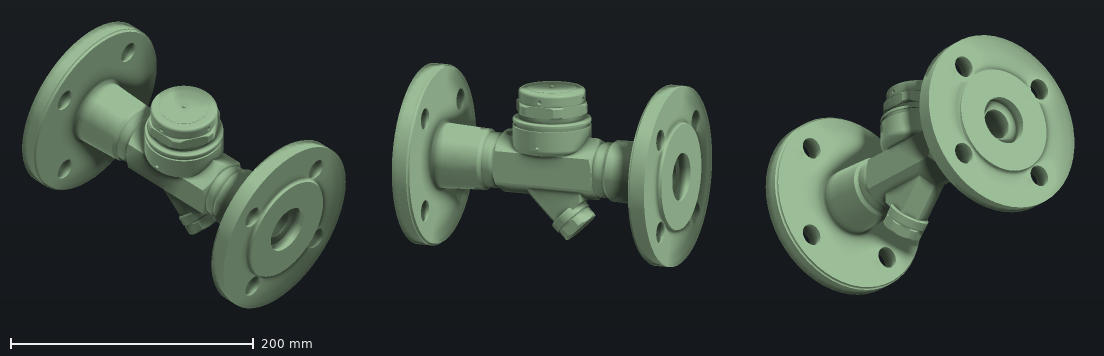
import cadquery as cq
import math

LENGTH = 230.0
FLANGE_DIA = 150.0
FLANGE_THICKNESS = 18.0
FACE_DIA = 88.0
FACE_HEIGHT = 3.0
FACE_FILLET = 2.8
FLANGE_STEP = 1.5
FLANGE_STEP_WIDTH = 2.3
BOLT_CIRCLE_DIA = 110.0
BOLT_HOLE_DIA = 18.0
BOLT_COUNT = 4

NECK_ROOT_DIA = 54.3
NECK_TIP_DIA = 50.8
NECK_FILLET = 3.0
NECK_TIP_X = 56.8
SPIGOT_DIA = 46.0
SPIGOT_START_X = 53.8
SPIGOT_END_X = 48.0
SPIGOT_BASE_DIA = 43.7
SOCKET_DIA = 40.0
SOCKET_DEPTH = 10.0
BORE_DIA = 25.0
BORE_END_X = 41.5

BODY_FLATS = 45.3
BODY_HALF_LENGTH = 44.2
BODY_CHAMFER_LENGTH = 2.8
BODY_CHAMFER_DEPTH = 4.1

BOWL_DIA = 65.0
BOWL_BOTTOM_Z = 13.5
BOWL_BOTTOM_FILLET = 5.0
BOWL_TOP_Z = 40.7
BOWL_TOP_FILLET = 1.4
GROOVE_DIA = 62.0
GROOVE_BOTTOM_Z = 34.7
GROOVE_TOP_Z = 38.0
COLLAR_DIA = 54.0
NUT_BOTTOM_Z = 45.3
NUT_TOP_Z = 54.5
NUT_FLATS = 55.5
NUT_CORNER_DIA = 60.5
NUT_CHAMFER = 1.2
CAP_DIA = 55.5
CAP_BOTTOM_Z = 55.2
CAP_TOP_Z = 65.3
CAP_FILLET = 3.0
CAP_DISC_DIA = 40.0
CAP_DISC_HEIGHT = 0.2
NUB_DIA = 3.0
CAP_NUB_RISE = 0.7
BOWL_NUB_Z = 20.5
BOWL_NUB_Y = -33.1
DIMPLE_DIA = 3.7
DIMPLE_Z = 58.6

PAD_WIDTH = 10.4
PAD_TOP_Z = 27.0
PAD_CENTER_X = -35.0

BRANCH_OFFSET = 17.5
BRANCH_FLATS = 26.5
BRANCH_LENGTH = 40.0
WEB_END_X = 30.0
PLUG_COLLAR_DIA = 34.0
PLUG_COLLAR_START = 36.5
PLUG_COLLAR_END = 45.0
PLUG_COLLAR_CHAMFER = 1.0
PLUG_END = 54.3
PLUG_FLATS = 30.8
PLUG_CORNER_DIA = 33.4
PLUG_CHAMFER = 1.2


def hexagon_corners(across_flats):
    """Distance across the corners of a regular hexagon."""
    return across_flats / math.cos(math.pi / 6)


def trimmed_hexagon(plane, across_flats, corner_dia, height, chamfer):
    """Hexagonal prism whose corners are turned down to a chamfered cylinder."""
    prism = cq.Workplane(plane).polygon(6, hexagon_corners(across_flats)).extrude(height)
    turned = cq.Workplane(plane).circle(corner_dia / 2).extrude(height).edges().chamfer(chamfer)
    return prism.intersect(turned)


def flange_and_neck():
    """Flange, tapered neck and spigot on the +X side, revolved about X."""
    end_x = LENGTH / 2
    face_root_x = end_x - FACE_HEIGHT
    flange_back_x = end_x - FLANGE_THICKNESS
    step_x = flange_back_x + FLANGE_STEP_WIDTH
    neck_root_x = flange_back_x - NECK_FILLET
    face_r = FACE_DIA / 2
    rim_r = FLANGE_DIA / 2
    root_r = NECK_ROOT_DIA / 2
    diagonal = 1 - math.sqrt(0.5)
    return (
        cq.Workplane("XY")
        .moveTo(0, 0)
        .lineTo(end_x, 0)
        .lineTo(end_x, face_r)
        .lineTo(face_root_x + FACE_FILLET, face_r)
        .threePointArc(
            (face_root_x + FACE_FILLET * diagonal, face_r + FACE_FILLET * diagonal),
            (face_root_x, face_r + FACE_FILLET),
        )
        .lineTo(face_root_x, rim_r)
        .lineTo(step_x, rim_r)
        .threePointArc(
            (step_x - FLANGE_STEP * diagonal, rim_r - FLANGE_STEP + FLANGE_STEP * diagonal),
            (step_x - FLANGE_STEP, rim_r - FLANGE_STEP),
        )
        .lineTo(flange_back_x, rim_r - FLANGE_STEP)
        .lineTo(flange_back_x, root_r + NECK_FILLET)
        .threePointArc(
            (flange_back_x - NECK_FILLET * diagonal, root_r + NECK_FILLET * diagonal),
            (neck_root_x, root_r),
        )
        .lineTo(NECK_TIP_X, NECK_TIP_DIA / 2)
        .lineTo(SPIGOT_START_X, SPIGOT_DIA / 2)
        .lineTo(SPIGOT_END_X, SPIGOT_DIA / 2)
        .tangentArcPoint((BODY_HALF_LENGTH, SPIGOT_BASE_DIA / 2), relative=False)
        .lineTo(0, SPIGOT_BASE_DIA / 2)
        .close()
        .revolve(360, (0, 0, 0), (1, 0, 0))
    )


def bolt_holes():
    """Bolt holes through the flange on the +X side."""
    return (
        cq.Workplane("YZ")
        .workplane(offset=LENGTH / 2)
        .polarArray(BOLT_CIRCLE_DIA / 2, 180 / BOLT_COUNT, 360, BOLT_COUNT)
        .circle(BOLT_HOLE_DIA / 2)
        .extrude(-FLANGE_THICKNESS)
    )


def bore():
    """Blind bore with a wider socket, entering from the +X end."""
    end = cq.Workplane("YZ").workplane(offset=LENGTH / 2)
    socket = end.circle(SOCKET_DIA / 2).extrude(-SOCKET_DEPTH)
    return socket.union(end.circle(BORE_DIA / 2).extrude(BORE_END_X - LENGTH / 2))


def body():
    """Hexagonal bar with two corners on the Z axis and conically chamfered ends."""
    corner_r = hexagon_corners(BODY_FLATS) / 2
    bar = (
        cq.Workplane("YZ")
        .workplane(offset=-BODY_HALF_LENGTH)
        .transformed(rotate=(0, 0, 90))
        .polygon(6, 2 * corner_r)
        .extrude(2 * BODY_HALF_LENGTH)
    )
    chamfer_x = BODY_HALF_LENGTH - BODY_CHAMFER_LENGTH
    end_r = corner_r - BODY_CHAMFER_DEPTH
    turned = (
        cq.Workplane("XY")
        .moveTo(-BODY_HALF_LENGTH, 0)
        .lineTo(-BODY_HALF_LENGTH, end_r)
        .lineTo(-chamfer_x, corner_r)
        .lineTo(chamfer_x, corner_r)
        .lineTo(BODY_HALF_LENGTH, end_r)
        .lineTo(BODY_HALF_LENGTH, 0)
        .close()
        .revolve(360, (0, 0, 0), (1, 0, 0))
    )
    return bar.intersect(turned)


def disc(diameter, bottom_z, top_z):
    return cq.Workplane("XY").workplane(offset=bottom_z).circle(diameter / 2).extrude(top_z - bottom_z)


def ball(diameter, y, z):
    return cq.Workplane("XY").sphere(diameter / 2).translate((0, y, z))


def ridge_pad():
    """Flat-topped pad with a round end, running from the ridge into the bowl."""
    straight = (
        cq.Workplane("XY")
        .center(PAD_CENTER_X / 2, 0)
        .rect(-PAD_CENTER_X, PAD_WIDTH)
        .extrude(PAD_TOP_Z)
    )
    round_end = cq.Workplane("XY").center(PAD_CENTER_X, 0).circle(PAD_WIDTH / 2).extrude(PAD_TOP_Z)
    return straight.union(round_end)


def bonnet():
    """Bowl, collar, hexagon nut and cap stacked along Z."""
    bowl = disc(BOWL_DIA, BOWL_BOTTOM_Z, GROOVE_BOTTOM_Z).faces("<Z").edges().fillet(BOWL_BOTTOM_FILLET)
    groove = disc(GROOVE_DIA, GROOVE_BOTTOM_Z, GROOVE_TOP_Z)
    rim = disc(BOWL_DIA, GROOVE_TOP_Z, BOWL_TOP_Z).faces(">Z").edges().fillet(BOWL_TOP_FILLET)
    collar = disc(COLLAR_DIA, BOWL_TOP_Z, CAP_BOTTOM_Z)
    nut_plane = cq.Plane(origin=(0, 0, NUT_BOTTOM_Z))
    nut = trimmed_hexagon(nut_plane, NUT_FLATS, NUT_CORNER_DIA, NUT_TOP_Z - NUT_BOTTOM_Z, NUT_CHAMFER)
    cap = disc(CAP_DIA, CAP_BOTTOM_Z, CAP_TOP_Z).faces(">Z").edges().fillet(CAP_FILLET)
    cap_disc = disc(CAP_DISC_DIA, CAP_TOP_Z, CAP_TOP_Z + CAP_DISC_HEIGHT)
    cap_nub = ball(NUB_DIA, 0, CAP_TOP_Z + CAP_NUB_RISE)
    bowl_nub = ball(NUB_DIA, BOWL_NUB_Y, BOWL_NUB_Z)
    stack = bowl
    for piece in (groove, rim, collar, nut, cap, cap_disc, cap_nub, bowl_nub):
        stack = stack.union(piece)
    return stack


def cap_dimples():
    """Four small round dimples in the side of the cap."""
    dimple = ball(DIMPLE_DIA, -CAP_DIA / 2, DIMPLE_Z)
    dimples = dimple
    for quarter in (1, 2, 3):
        dimples = dimples.union(dimple.rotate((0, 0, 0), (0, 0, 1), 90 * quarter))
    return dimples


def branch():
    """Hexagonal branch, filler web and hexagon plug on the inclined axis."""
    cos45 = math.sqrt(0.5)
    foot = -BRANCH_OFFSET * cos45

    def branch_plane(distance):
        """Plane across the branch axis, with its local X along Y."""
        origin = (foot + distance * cos45, 0, foot - distance * cos45)
        return cq.Plane(origin=origin, xDir=(0, 1, 0), normal=(1, 0, -1))

    hexagon = (
        cq.Workplane(branch_plane(0))
        .transformed(rotate=(0, 0, 90))
        .polygon(6, hexagon_corners(BRANCH_FLATS))
        .extrude(BRANCH_LENGTH)
    )

    tip_x = foot + BRANCH_LENGTH * cos45
    tip_z = foot - BRANCH_LENGTH * cos45
    web = (
        cq.Workplane("XZ")
        .moveTo(foot, foot)
        .lineTo(tip_x, tip_z)
        .lineTo(WEB_END_X, WEB_END_X - BRANCH_LENGTH / cos45)
        .lineTo(WEB_END_X, foot)
        .close()
        .extrude(BRANCH_FLATS / 2, both=True)
    )

    collar = (
        cq.Workplane(branch_plane(PLUG_COLLAR_START))
        .circle(PLUG_COLLAR_DIA / 2)
        .extrude(PLUG_COLLAR_END - PLUG_COLLAR_START)
        .edges()
        .chamfer(PLUG_COLLAR_CHAMFER)
    )
    head_plane = branch_plane(PLUG_COLLAR_END).rotated((0, 0, 90))
    head = trimmed_hexagon(
        head_plane, PLUG_FLATS, PLUG_CORNER_DIA, PLUG_END - PLUG_COLLAR_END, PLUG_CHAMFER
    )
    return hexagon.union(web).union(collar).union(head)


half_run = flange_and_neck().cut(bolt_holes())
run = half_run.union(half_run.mirror("YZ")).union(body())
valve = run.union(ridge_pad()).union(bonnet()).union(branch())
bores = bore().union(bore().mirror("YZ"))
result = valve.cut(bores).cut(cap_dimples())